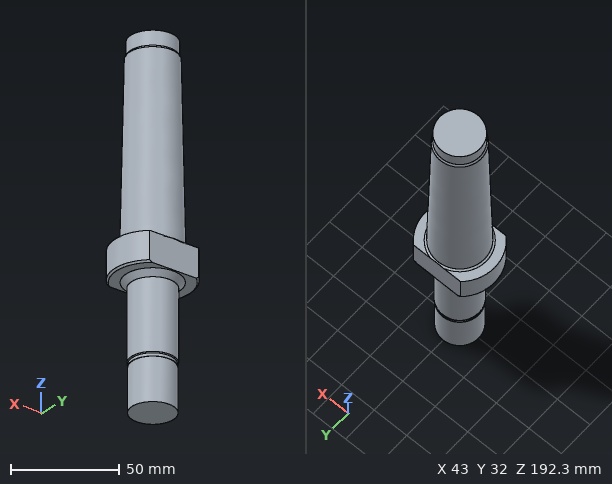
import cadquery as cq

total_length = 192.3
groove_bottom = 23.7
groove_height = 1.7
shank_top = 64.6
flange_bottom = 67.7
flange_top = 83.8
collar_top = 89.6
taper_top = 183.3
pilot_bottom = 184.5

tip_diameter = 23.5
groove_diameter = 23.0
shank_diameter = 24.0
pilot_diameter = 25.0
taper_small_diameter = 26.5
collar_diameter = 30.5
flange_diameter = 43.0

across_flats = 32.0
flange_chamfer = 1.0
root_flare_width = 1.2
root_flare_height = 0.5


def turned_body():
    """Revolve the shank, the shoulder cone, the collar, the taper and the pilot about Z."""
    groove_top = groove_bottom + groove_height
    groove_depth = (shank_diameter - groove_diameter) / 2
    shoulder_radius = shank_diameter / 2 + flange_bottom - shank_top
    collar_radius = collar_diameter / 2
    profile = [
        (0, 0),
        (tip_diameter / 2, 0),
        (tip_diameter / 2, groove_bottom),
        (groove_diameter / 2, groove_bottom),
        (groove_diameter / 2, groove_top),
        (shank_diameter / 2, groove_top + groove_depth),
        (shank_diameter / 2, shank_top),
        (shoulder_radius, flange_bottom),
        (shoulder_radius, flange_top),
        (collar_radius + root_flare_width, flange_top),
        (collar_radius, flange_top + root_flare_height),
        (collar_radius, collar_top),
        (taper_small_diameter / 2, taper_top),
        (pilot_diameter / 2, pilot_bottom),
        (pilot_diameter / 2, total_length),
        (0, total_length),
    ]
    return cq.Workplane("XZ").polyline(profile).close().revolve(360, (0, 0), (0, 1))


def flange():
    """Round flange with a chamfered lower rim."""
    return (
        cq.Workplane("XY", origin=(0, 0, flange_bottom))
        .circle(flange_diameter / 2)
        .extrude(flange_top - flange_bottom)
        .faces("<Z")
        .chamfer(flange_chamfer)
    )


def flats_envelope():
    """Full-height block that cuts the two wrench flats, facing -Y and +Y."""
    return cq.Workplane("XY").box(
        flange_diameter, across_flats, total_length, centered=(True, True, False)
    )


result = turned_body().union(flange()).intersect(flats_envelope())